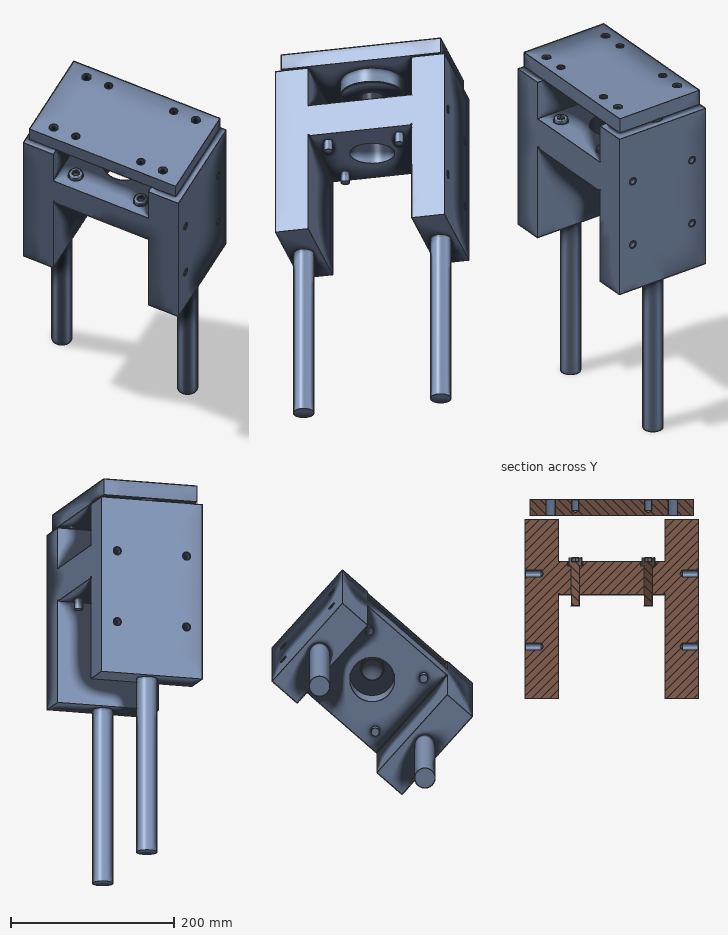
import cadquery as cq
import math

total_height = 463.0

housing_width = 213.0
housing_depth = 130.0
housing_height = 220.0
leg_thickness = 41.0
crossbar_drop = 51.5
crossbar_thickness = 41.0
central_bore_diameter = 55.0
relief_size = 1.5

plate_width = 201.0
plate_depth = 120.5
plate_thickness = 20.0
plate_gap = 4.5
rod_diameter = 25.0
rod_spacing = 172.5
flange_diameter = 78.0
flange_height = 19.0
collar_diameter = 30.0
collar_height = 1.5
edge_chamfer = 1.0
stud_diameter = 27.5
stud_height = 13.5

pattern_pitch = 89.5
through_hole_pitch = 150.0
through_hole_diameter = 11.0
tapped_hole_diameter = 8.5
tapped_mouth_diameter = 10.0
plate_tapped_depth = 14.0
leg_tapped_depth = 20.0
leg_pattern_drop = 111.0
drill_point_angle = 118.0

screw_diameter = 10.0
screw_projection = 13.5
head_diameter = 16.0
head_height = 10.0
head_rounding = 1.0
head_projection = 4.5
counterbore_diameter = 18.5
socket_width = 8.5
socket_depth = 5.0

plate_bottom = total_height - plate_thickness
housing_top = plate_bottom - plate_gap
housing_bottom = housing_top - housing_height
leg_pattern_centre = housing_top - leg_pattern_drop
crossbar_top = housing_top - crossbar_drop
crossbar_bottom = crossbar_top - crossbar_thickness
head_top = crossbar_top + head_projection
head_seat = head_top - head_height
opening_width = housing_width - 2 * leg_thickness

sides = (-1, 1)
rod_points = [(side * rod_spacing / 2, 0) for side in sides]


def grid(pitch_u, pitch_v):
    """Four points centred on the origin."""
    return [(u * pitch_u / 2, v * pitch_v / 2) for u in sides for v in sides]


pattern_points = grid(pattern_pitch, pattern_pitch)


def cylinders(points, diameter, bottom, top):
    """Upright cylinders between two levels."""
    base = cq.Workplane("XY", origin=(0, 0, bottom))
    return base.pushPoints(points).circle(diameter / 2).extrude(top - bottom)


def upright_box(width, depth, bottom, top):
    """Box centred on the Z axis between two levels."""
    return cq.Workplane("XY", origin=(0, 0, bottom)).rect(width, depth).extrude(top - bottom)


def drilled_hole(entry, direction, depth):
    """Cutter for a blind tapped hole that ends in a drill point."""
    radius = tapped_hole_diameter / 2
    point_height = radius / math.tan(math.radians(drill_point_angle / 2))
    start = cq.Vector(*entry)
    axis = cq.Vector(*direction)
    barrel = cq.Solid.makeCylinder(radius, depth, start, axis)
    point = cq.Solid.makeCone(radius, 0, point_height, start + axis * depth, axis)
    mouth_radius = tapped_mouth_diameter / 2
    mouth = cq.Solid.makeCone(mouth_radius, radius, mouth_radius - radius, start, axis)
    return barrel.fuse(point, mouth)


def make_housing():
    body = upright_box(housing_width, housing_depth, housing_bottom, housing_top)

    body = body.cut(upright_box(opening_width, housing_depth, crossbar_top, housing_top))
    body = body.cut(upright_box(opening_width, housing_depth, housing_bottom, crossbar_bottom))

    for side in sides:
        relief = upright_box(relief_size, housing_depth, crossbar_bottom, crossbar_bottom + relief_size)
        body = body.cut(relief.translate((side * (opening_width - relief_size) / 2, 0, 0)))

    body = body.cut(cylinders(rod_points, rod_diameter, housing_bottom, housing_top))
    body = body.cut(cylinders([(0, 0)], central_bore_diameter, crossbar_bottom, crossbar_top))

    body = body.cut(cylinders(pattern_points, screw_diameter, crossbar_bottom, crossbar_top))
    body = body.cut(cylinders(pattern_points, counterbore_diameter, head_seat, crossbar_top))

    for side in sides:
        for y, z in pattern_points:
            entry = (side * housing_width / 2, y, leg_pattern_centre + z)
            body = body.cut(cq.Workplane(drilled_hole(entry, (-side, 0, 0), leg_tapped_depth)))
    return body


def make_yoke():
    body = upright_box(plate_width, plate_depth, plate_bottom, total_height)

    through_points = grid(through_hole_pitch, pattern_pitch)
    body = body.cut(cylinders(through_points, through_hole_diameter, plate_bottom, total_height))
    for x, y in pattern_points:
        body = body.cut(cq.Workplane(drilled_hole((x, y, total_height), (0, 0, -1), plate_tapped_depth)))

    body = body.union(cylinders(rod_points, rod_diameter, 0, plate_bottom))

    flange_bottom = plate_bottom - flange_height
    flange = cylinders([(0, 0)], flange_diameter, flange_bottom, plate_bottom)
    collar = cylinders([(0, 0)], collar_diameter, flange_bottom - collar_height, flange_bottom)
    stud = cylinders([(0, 0)], stud_diameter, flange_bottom - stud_height, flange_bottom)
    body = body.union(flange.faces("<Z").chamfer(edge_chamfer))
    body = body.union(collar)
    body = body.union(stud.faces("<Z").chamfer(edge_chamfer))
    return body


def make_screw(point):
    shank = cylinders([point], screw_diameter, crossbar_bottom - screw_projection, head_seat)
    head = cylinders([point], head_diameter, head_seat, head_top).faces(">Z").edges().fillet(head_rounding)
    socket = (
        cq.Workplane("XY", origin=(*point, head_top))
        .polygon(6, socket_width, circumscribed=True)
        .extrude(-socket_depth)
    )
    return shank.union(head).cut(socket)


housing = make_housing()
yoke = make_yoke()
screws = [make_screw(point) for point in pattern_points]

result = cq.Compound.makeCompound([housing.val(), yoke.val(), *[screw.val() for screw in screws]])